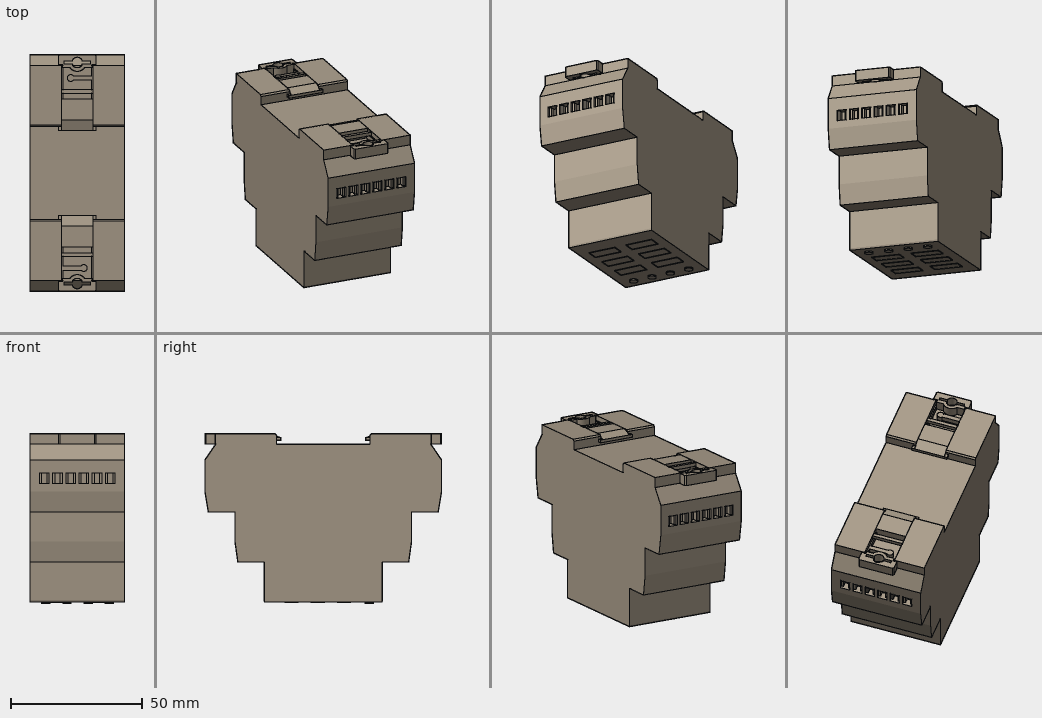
import cadquery as cq

WIDTH = 36.0
LENGTH = 90.0
HEIGHT = 64.5
FOOT_DEPTH = 0.5
PLATE_DEPTH = 0.25
BASE_Z = FOOT_DEPTH

BASE_HALF = 22.5
BASE_BEVEL_HEIGHT = 0.6
BASE_BEVEL_INSET = 0.17
LOWER_STEP_Z = 15.7
LOWER_STEP_HALF = 32.5
LOWER_SHOULDER_Z = 23.5
LOWER_SHOULDER_HALF = 33.6
UPPER_STEP_Z = 34.7
UPPER_STEP_HALF = 43.7
UPPER_SHOULDER_Z = 42.5
END_HALF = LENGTH / 2
SLOPE_START_Z = 54.5
DECK_Z = 60.5
BLOCK_OUTER = 40.9
BLOCK_INNER = 17.7
BLOCK_CHAMFER = 0.6

CHANNEL_HALF = 6.0
LEDGE_WIDTH = 0.55
LEDGE_Z = 62.5
RIB_OUTER = 31.7
RIB_INNER = 30.3
RIB_TOP = 64.2
RIB_THICKNESS = 1.4

RAMP_OUTER = 28.1
RAMP_BREAK = 20.2
RAMP_TOP = 64.45
LIP_END = 16.1
LIP_TOP = 63.0
LIP_BOTTOM = 61.9
LIP_HALF = 7.1

TAB_HALF = 7.1
TAB_CHAMFER = 0.5
TAB_INNER = 41.2
NECK_HALF = 5.6
NECK_INNER = 40.05
HOLE_Y = 42.0
HOLE_RADIUS = 2.0
COLLAR_RADIUS = 3.4
SLOT_HALF = 5.0
SLOT_WIDTH = 1.0

FINGER_Y = 36.1
FINGER_WIDTH = 1.7
FINGER_TIP_X = -2.5
FINGER_TIP_RADIUS = 1.3

OPENING_COUNT = 6
OPENING_PITCH = 5.0
OPENING_WIDTH = 3.7
OPENING_HEIGHT = 4.0
OPENING_DEPTH = 1.0
OPENING_CENTRE_Z = 47.5
CONTACT_WIDTH = 2.0
CONTACT_DEPTH = 3.0

FOOT_X = (-11.9, -3.9, 4.1, 12.1)
FOOT_Y = 17.4
FOOT_RADIUS = 1.6
PLATE_X = (-7.9, 8.1)
PLATE_Y = (7.9, -2.1, -12.1)
PLATE_WIDTH = 11.2
PLATE_LENGTH = 5.0


def box(x0, x1, y0, y1, z0, z1):
    """Axis-aligned box between two opposite corners."""
    return cq.Workplane("XY").box(x1 - x0, y1 - y0, z1 - z0, centered=False).translate((x0, y0, z0))


def extrude_along_x(points, half_width):
    """Prism of a (Y, Z) outline, centred on X = 0."""
    return cq.Workplane("YZ").polyline(points).close().extrude(half_width, both=True)


def housing():
    half_outline = [
        (BASE_HALF - BASE_BEVEL_INSET, BASE_Z),
        (BASE_HALF, BASE_Z + BASE_BEVEL_HEIGHT),
        (BASE_HALF, LOWER_STEP_Z),
        (LOWER_STEP_HALF, LOWER_STEP_Z),
        (LOWER_SHOULDER_HALF, LOWER_SHOULDER_Z),
        (LOWER_SHOULDER_HALF, UPPER_STEP_Z),
        (UPPER_STEP_HALF, UPPER_STEP_Z),
        (END_HALF, UPPER_SHOULDER_Z),
        (END_HALF, SLOPE_START_Z),
        (BLOCK_OUTER, DECK_Z),
        (BLOCK_OUTER, HEIGHT),
        (BLOCK_INNER + BLOCK_CHAMFER, HEIGHT),
        (BLOCK_INNER, HEIGHT - BLOCK_CHAMFER),
        (BLOCK_INNER, DECK_Z),
    ]
    mirrored = [(-y, z) for y, z in reversed(half_outline)]
    return extrude_along_x(half_outline + mirrored, WIDTH / 2)


def channel():
    return box(-CHANNEL_HALF, CHANNEL_HALF, BLOCK_INNER, BLOCK_OUTER, DECK_Z, HEIGHT)


def ledges_and_rib():
    inner_half = CHANNEL_HALF - LEDGE_WIDTH
    ledges = box(-CHANNEL_HALF, CHANNEL_HALF, RAMP_OUTER, NECK_INNER, DECK_Z, LEDGE_Z).cut(
        box(-inner_half, inner_half, RAMP_OUTER, NECK_INNER, DECK_Z, LEDGE_Z)
    )
    rib = box(-CHANNEL_HALF, CHANNEL_HALF, RIB_INNER, RIB_OUTER, RIB_TOP - RIB_THICKNESS, RIB_TOP)
    return ledges.union(rib)


def ramp():
    outline = [
        (RAMP_OUTER, DECK_Z),
        (RAMP_OUTER, RAMP_TOP),
        (RAMP_BREAK, RAMP_TOP),
        (LIP_END, LIP_TOP),
        (LIP_END, LIP_BOTTOM),
        (BLOCK_INNER, LIP_BOTTOM),
        (BLOCK_INNER, DECK_Z),
    ]
    lip = box(-LIP_HALF, LIP_HALF, LIP_END, BLOCK_INNER, LIP_BOTTOM, LIP_TOP)
    return extrude_along_x(outline, CHANNEL_HALF).union(lip)


def finger():
    height = LEDGE_Z - DECK_Z
    bar = box(
        FINGER_TIP_X, CHANNEL_HALF,
        FINGER_Y - FINGER_WIDTH / 2, FINGER_Y + FINGER_WIDTH / 2,
        DECK_Z, LEDGE_Z,
    )
    tip = cq.Workplane("XY", origin=(FINGER_TIP_X, FINGER_Y, DECK_Z)).circle(FINGER_TIP_RADIUS).extrude(height)
    return bar.union(tip)


def tab():
    height = HEIGHT - DECK_Z
    head = box(-TAB_HALF, TAB_HALF, TAB_INNER, END_HALF, DECK_Z, HEIGHT)
    head = head.edges("|Z and >Y").chamfer(TAB_CHAMFER)
    neck = box(-NECK_HALF, NECK_HALF, NECK_INNER, TAB_INNER, DECK_Z, HEIGHT)
    centre = cq.Workplane("XY", origin=(0, HOLE_Y, DECK_Z))
    collar = centre.circle(COLLAR_RADIUS).extrude(height)
    collar = collar.intersect(box(-TAB_HALF, TAB_HALF, 0, TAB_INNER, DECK_Z, HEIGHT))
    hole = centre.circle(HOLE_RADIUS).extrude(height)
    slot = centre.rect(2 * SLOT_HALF, SLOT_WIDTH).extrude(height)
    return head.union(neck).union(collar).cut(hole).cut(slot)


def terminal_openings():
    cutters = cq.Workplane("XY")
    z0 = OPENING_CENTRE_Z - OPENING_HEIGHT / 2
    z1 = OPENING_CENTRE_Z + OPENING_HEIGHT / 2
    for index in range(OPENING_COUNT):
        x = (index - (OPENING_COUNT - 1) / 2) * OPENING_PITCH
        for width, depth in ((OPENING_WIDTH, OPENING_DEPTH), (CONTACT_WIDTH, CONTACT_DEPTH)):
            cutters = cutters.union(
                box(x - width / 2, x + width / 2, END_HALF - depth, END_HALF, z0, z1)
            )
    return cutters


def feet():
    """Round feet in one row across the base."""
    centres = [(x, FOOT_Y) for x in FOOT_X]
    base = cq.Workplane("XY", origin=(0, 0, BASE_Z - FOOT_DEPTH))
    return base.pushPoints(centres).circle(FOOT_RADIUS).extrude(FOOT_DEPTH)


def plates():
    """Shallow rectangular plates in two columns under the base."""
    centres = [(x, y) for x in PLATE_X for y in PLATE_Y]
    base = cq.Workplane("XY", origin=(0, 0, BASE_Z - PLATE_DEPTH))
    return base.pushPoints(centres).rect(PLATE_WIDTH, PLATE_LENGTH).extrude(PLATE_DEPTH)


def turn_to_end(feature, angle):
    """Turn a feature made for the +Y end about Z to serve either end."""
    return feature.rotate((0, 0, 0), (0, 0, 1), angle)


result = housing()
for angle in (0, 180):
    for cutter in (channel(), terminal_openings()):
        result = result.cut(turn_to_end(cutter, angle))
    for feature in (ledges_and_rib(), ramp(), finger(), tab()):
        result = result.union(turn_to_end(feature, angle))
result = result.union(feet()).union(plates())